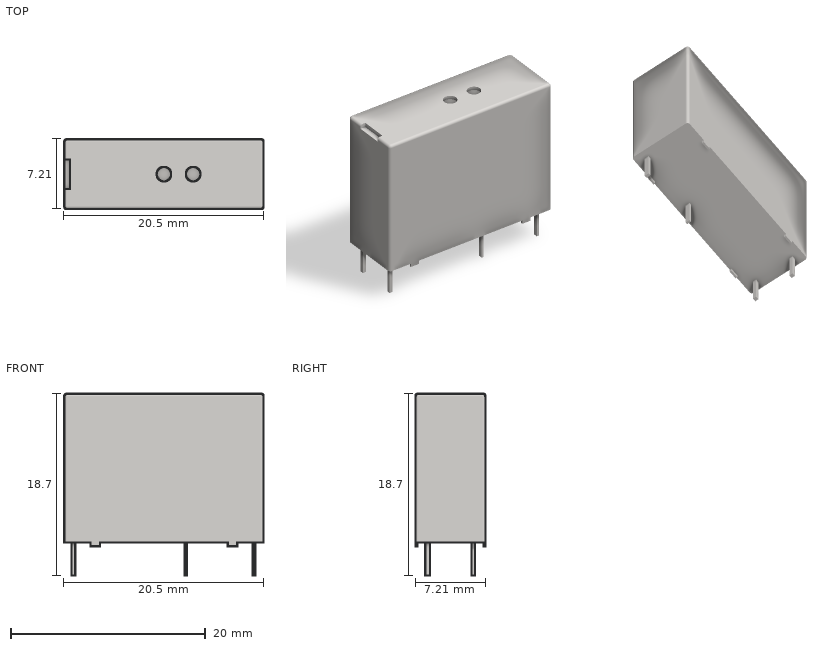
import cadquery as cq

case_length = 20.5
case_width = 7.21
overall_height = 18.7
pin_length = 3.4
case_height = overall_height - pin_length
edge_radius = 0.3

notch_depth_x = 0.6
notch_width = 3.0
notch_depth_z = 0.5

dimple_diameter = 1.5
dimple_depth = 0.4
dimple_spacing = 3.0
dimple_positions = [(0, 0), (dimple_spacing, 0)]

foot_length = 1.0
foot_thickness = 0.22
foot_height = 0.4
foot_offset_x = 7.05

pin_row_y = 2.34
coil_pin_x = -9.3
middle_contact_x = 2.25
end_contact_x = 9.25
coil_pin_size = (0.4, 0.4)
middle_contact_size = (0.25, 0.5)
end_contact_size = (0.3, 0.5)

embed = 0.5


def make_case():
    """Block with rounded vertical and top edges and a sharp bottom rim."""
    block = cq.Workplane("XY").box(case_length, case_width, case_height, centered=(True, True, False))
    return block.edges("|Z or >Z").fillet(edge_radius)


def hanging_block(x, y, size_x, size_y, drop):
    """Rectangular bar centred on (x, y), reaching a distance drop below the case."""
    bar = cq.Workplane("XY").box(size_x, size_y, drop + embed, centered=(True, True, False))
    return bar.translate((x, y, -drop))


def make_notch():
    """Cutter for the vent notch."""
    notch = cq.Workplane("XY").box(notch_depth_x, notch_width, notch_depth_z, centered=(False, True, False))
    return notch.translate((-case_length / 2, 0, case_height - notch_depth_z))


def make_dimples():
    """Cutters for the round dimples."""
    floor = cq.Workplane("XY").workplane(offset=case_height - dimple_depth)
    return floor.pushPoints(dimple_positions).circle(dimple_diameter / 2).extrude(dimple_depth)


def add_feet(body):
    """Add a foot near both ends of each long side, flush with the outer wall."""
    foot_y = (case_width - foot_thickness) / 2
    for side_x in (-1, 1):
        for side_y in (-1, 1):
            foot_x = side_x * foot_offset_x
            foot = hanging_block(foot_x, side_y * foot_y, foot_length, foot_thickness, foot_height)
            body = body.union(foot)
    return body


def add_pins(body):
    """Add two coil pins at the -X end and two contact pins along the -Y row."""
    pins = [
        (coil_pin_x, pin_row_y, coil_pin_size),
        (coil_pin_x, -pin_row_y, coil_pin_size),
        (middle_contact_x, -pin_row_y, middle_contact_size),
        (end_contact_x, -pin_row_y, end_contact_size),
    ]
    for x, y, (size_x, size_y) in pins:
        body = body.union(hanging_block(x, y, size_x, size_y, pin_length))
    return body


result = make_case().cut(make_notch()).cut(make_dimples())
result = add_pins(add_feet(result))